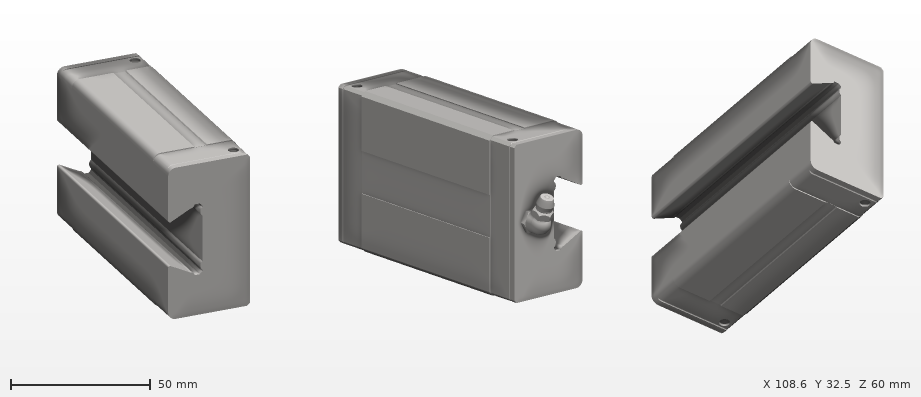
import cadquery as cq
import math


total_length = 97.1
centre_length = 70.7
depth = 32.5
height = 60.0
cap_inset = 0.4
front_fillet = 3.0
centre_back_chamfer = 1.7
cap_back_chamfer = 1.1

channel_depth = 13.4
pocket_half_height = 13.85
pocket_corner_chamfer = 1.0
pocket_roof_end = 10.4
flank_start_depth = 8.8
flank_start_height = 12.55
flank_angle = 27.0
flank_bead_bulge = 0.35
lip_radius = 0.75
bead_height = 10.55
bead_half_width = 1.65
bead_rise = 0.8

side_relief_front = depth - 16.35
side_relief_back = depth - 11.35
relief_depth = 0.33
back_relief_half_height = 8.0

groove_offset = 2.4
groove_width = 0.6
groove_depth = 0.7
port_diameter = 4.0
port_depth = 0.9
port_end_offset = 5.7
port_back_offset = 4.4

nipple_y = depth - 8.0
base_hex_flats = 8.0
base_hex_length = 2.0
base_hex_chamfer_angle = 30.0
elbow_radius = 4.0
elbow_reach = 5.23
neck_tilt = 20.0
neck_hex_flats = 7.0
neck_hex_start = 3.3
neck_radius = 3.0
neck_start = 6.4
neck_end = 7.1
head_radius = 6.65 / 2
head_widest = 8.6
head_side_bulge = 0.1
head_top = 11.5
tip_radius = 4.92 / 2
ball_radius = 1.25
ball_rise = 0.5


def body_section(length, inset, back_chamfer):
    """Bar along X with rounded front edges and chamfered back edges."""
    bar_depth = depth - inset
    return (
        cq.Workplane("XY")
        .box(length, bar_depth, height - 2 * inset, centered=(True, False, True))
        .edges("|X and <Y")
        .fillet(front_fillet)
        .edges("|X and >Y")
        .chamfer(back_chamfer)
    )


def channel_half():
    """Upper half of the rail channel, cut from Z = 0 upward."""
    slope = math.tan(math.radians(flank_angle))
    tilt = math.radians(90 - flank_angle)
    lip_edge = flank_start_height - slope * flank_start_depth
    tangent_length = lip_radius / math.tan(tilt / 2)
    lip_centre_z = lip_edge + tangent_length
    arc_middle = (
        lip_radius - lip_radius * math.cos(tilt),
        lip_centre_z - lip_radius * math.sin(tilt),
    )
    arc_end = (
        tangent_length * math.cos(math.radians(flank_angle)),
        lip_edge + tangent_length * math.sin(math.radians(flank_angle)),
    )
    bead_run = pocket_roof_end - flank_start_depth
    bead_drop = pocket_half_height - flank_start_height
    bead_chord = math.hypot(bead_run, bead_drop)
    flank_bead_middle = (
        flank_start_depth + bead_run / 2 + flank_bead_bulge * bead_drop / bead_chord,
        flank_start_height + bead_drop / 2 - flank_bead_bulge * bead_run / bead_chord,
    )
    return (
        cq.Workplane("YZ", origin=(-total_length / 2, 0, 0))
        .moveTo(0, 0)
        .lineTo(0, lip_centre_z)
        .threePointArc(arc_middle, arc_end)
        .lineTo(flank_start_depth, flank_start_height)
        .threePointArc(flank_bead_middle, (pocket_roof_end, pocket_half_height))
        .lineTo(channel_depth - pocket_corner_chamfer, pocket_half_height)
        .lineTo(channel_depth, pocket_half_height - pocket_corner_chamfer)
        .lineTo(channel_depth, bead_height + bead_half_width)
        .threePointArc(
            (channel_depth - bead_rise, bead_height),
            (channel_depth, bead_height - bead_half_width),
        )
        .lineTo(channel_depth, 0)
        .close()
        .extrude(total_length)
    )


def side_relief():
    """Shallow strip in the +Z side, with a sloped wall towards the back."""
    floor_z = height / 2 - relief_depth
    return (
        cq.Workplane("YZ", origin=(-centre_length / 2, 0, 0))
        .moveTo(side_relief_front, height / 2)
        .lineTo(side_relief_front, floor_z)
        .lineTo(side_relief_back - relief_depth, floor_z)
        .lineTo(side_relief_back, height / 2)
        .close()
        .extrude(centre_length)
    )


def back_relief():
    """Shallow strip along the middle of the back face."""
    return cq.Workplane("XY").box(centre_length, 2 * relief_depth, 2 * back_relief_half_height).translate(
        (0, depth, 0)
    )


def groove_section(surface_plane):
    """V-groove outline on the left cap: steep outer wall, sloped inner wall."""
    outer_x = -total_length / 2 + groove_offset
    return (
        surface_plane.moveTo(outer_x, 0)
        .lineTo(outer_x, -groove_depth)
        .lineTo(outer_x + groove_width, 0)
        .close()
    )


def cap_grooves():
    """Grooves of the left cap in its +Z side and its back."""
    side_plane = cq.Workplane("XZ", origin=(0, depth, height / 2 - cap_inset))
    side_groove = groove_section(side_plane).extrude(depth)
    back_plane = cq.Workplane("XY", origin=(0, depth - cap_inset, 0))
    back_groove = groove_section(back_plane).extrude(height / 2)
    return side_groove.union(back_groove)


def oil_port():
    """Blind round port in the +Z side of the left cap."""
    return (
        cq.Workplane("XY", origin=(0, 0, height / 2 - cap_inset - port_depth))
        .center(-total_length / 2 + port_end_offset, depth - port_back_offset)
        .circle(port_diameter / 2)
        .extrude(port_depth)
    )


def make_carriage():
    body = body_section(centre_length, 0, centre_back_chamfer).cut(back_relief())
    cap_pair = body_section(total_length, cap_inset, cap_back_chamfer)
    quarter_cuts = cap_grooves().union(oil_port())
    half_cuts = quarter_cuts.union(quarter_cuts.mirror("YZ"))
    cap_pair = cap_pair.cut(half_cuts).cut(half_cuts.mirror("XY"))
    body = body.union(cap_pair)
    for upper_cut in (side_relief(), channel_half()):
        body = body.cut(upper_cut).cut(upper_cut.mirror("XY"))
    return body


def nipple_neck():
    """Hexagon, neck, head and ball, standing along +Z from the elbow centre."""
    corner_radius = neck_hex_flats / math.sqrt(3)
    hexagon = (
        cq.Workplane("XY", origin=(0, 0, neck_hex_start))
        .polygon(6, 2 * corner_radius)
        .extrude(neck_start - neck_hex_start)
    )
    chamfer_start = neck_start - (corner_radius - neck_radius)
    chamfer_cone = (
        cq.Workplane("XZ")
        .lineTo(corner_radius, 0)
        .lineTo(corner_radius, chamfer_start)
        .lineTo(neck_radius, neck_start)
        .lineTo(0, neck_start)
        .close()
        .revolve(360, (0, 0), (0, 1))
    )
    side_middle = ((head_radius + tip_radius) / 2 + head_side_bulge, (head_widest + head_top) / 2)
    head = (
        cq.Workplane("XZ")
        .moveTo(0, neck_hex_start)
        .lineTo(neck_radius, neck_hex_start)
        .lineTo(neck_radius, neck_end)
        .lineTo(head_radius, head_widest)
        .threePointArc(side_middle, (tip_radius, head_top))
        .lineTo(0, head_top)
        .close()
        .revolve(360, (0, 0), (0, 1))
    )
    ball = cq.Workplane("XY").sphere(ball_radius).translate((0, 0, head_top + ball_rise - ball_radius))
    return hexagon.intersect(chamfer_cone).union(head).union(ball)


def make_nipple():
    corner_radius = base_hex_flats / math.sqrt(3)
    base_hex = cq.Workplane("YZ").polygon(6, 2 * corner_radius).extrude(-base_hex_length)
    chamfer_run = (corner_radius - elbow_radius) * math.tan(math.radians(base_hex_chamfer_angle))
    chamfer_cone = (
        cq.Workplane("XZ")
        .lineTo(0, corner_radius)
        .lineTo(chamfer_run - base_hex_length, corner_radius)
        .lineTo(-base_hex_length, elbow_radius)
        .lineTo(-base_hex_length, 0)
        .close()
        .revolve(360, (0, 0), (1, 0))
    )
    dome_offset = elbow_radius * math.sqrt(0.5)
    elbow = (
        cq.Workplane("XZ")
        .lineTo(0, elbow_radius)
        .lineTo(-elbow_reach, elbow_radius)
        .threePointArc((-elbow_reach - dome_offset, dome_offset), (-elbow_reach - elbow_radius, 0))
        .close()
        .revolve(360, (0, 0), (1, 0))
    )
    neck = (
        nipple_neck()
        .rotate((0, 0, 0), (0, 1, 0), -neck_tilt)
        .translate((-elbow_reach, 0, 0))
    )
    nipple = base_hex.intersect(chamfer_cone).union(elbow).union(neck)
    return nipple.translate((-total_length / 2, nipple_y, 0))


carriage = make_carriage()
nipple = make_nipple()

result = cq.Compound.makeCompound([carriage.val(), nipple.val()])